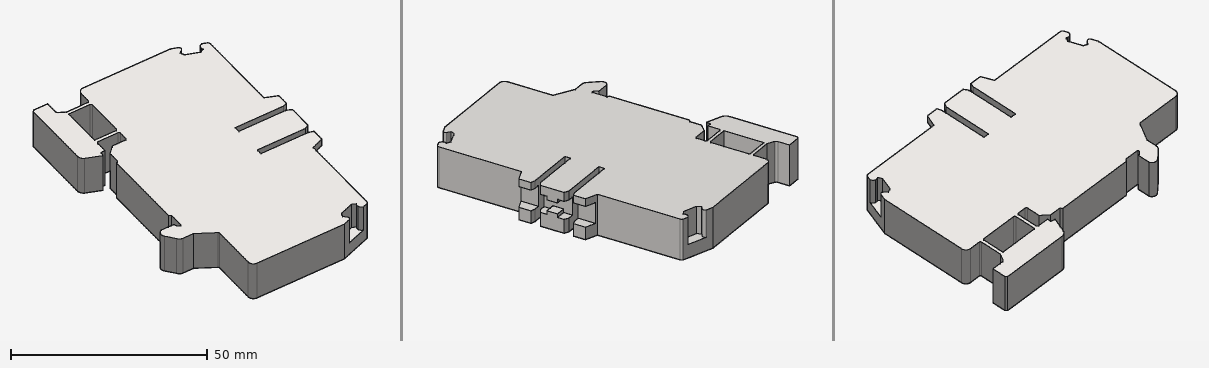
import cadquery as cq

length = 80.0
height = 55.5
thickness = 12.0
mid_x = length / 2

body_bottom = 14.0
shoulder_top = 51.9
flank_start = 42.4
flank_lean = 3.4
body_corner_radius = 1.6
shoulder_radius = 0.8

tab_root_half = 11.4
tab_top_half = 9.9
slit_outer_half = 5.9
slit_inner_half = 4.2
slit_bottom = 39.5
outer_lead_in = 0.4
middle_lead_in = 0.7
lead_in_depth = 1.3

groove_floor = 52.5
groove_center_z = 6.7
outer_groove_width = 6.1
middle_groove_width = 5.3
neck_groove_width = 3.2
neck_length = 3.2

seat_top = 7.5
seat_left = 22.5
seat_chamfer = 2.1
pad_bottom = 6.9
pad_left = 28.1
pad_right = 52.8
pad_slope = 0.4

hook_inner = 56.0
hook_outer = 61.7
hook_root = 57.3
hook_lip = 6.2
hook_lip_middle = (57.0, 6.6)
hook_tip_start = 2.4
hook_tip_middle = (56.8, 1.4)
hook_tip_end = (58.4, 1.7)
hook_heel_start = (60.8, 3.7)
hook_heel_middle = (61.4, 4.3)
hook_heel_end = 5.1
hook_neck = 8.4
hook_shoulder = 65.0

foot_top = 7.0
foot_ledge = 4.7
foot_ledge_end = 4.0
foot_right = 23.0
foot_lip_bottom = 5.8
foot_lip_tip = (24.2, 5.6)
foot_nose_start = (22.5, 1.0)
foot_nose_middle = (21.8, 0.3)
foot_nose_end = 20.8
foot_chamfer = 0.5
leg_width = 1.0
left_leg = 5.3
right_leg = 18.2
small_fillet = 0.4
ledge_fillet = 0.8

notch_floor_z = 4.0
notch_upper_lip = (2.8, 50.1)
notch_upper_lip_middle = (3.1, 49.4)
notch_upper_lip_end = (3.8, 49.0)
notch_upper_wall_end = (4.3, 49.0)
notch_upper_corner = (4.7, 49.3)
notch_floor_top = (5.3, 48.1)
notch_floor_bottom = (3.8, 44.1)
notch_lower_corner = (2.6, 43.6)
notch_lower_wall_end = (1.8, 44.6)
notch_lower_lip_middle = (1.2, 44.7)
notch_lower_lip = (0.6, 44.2)


def mirrored(shape):
    """Copy of a shape reflected about the middle of the part."""
    return shape.mirror("YZ", (mid_x, 0, 0))


def extruded(outline):
    return outline.close().extrude(thickness)


def fillet_corners(shape, corners, radius):
    """Round the upright edges that pass through the given XY corners."""
    for x, y in corners:
        edge = cq.selectors.NearestToPointSelector((x, y, thickness / 2))
        shape = shape.edges(edge).fillet(radius)
    return shape


def make_body():
    half = extruded(
        cq.Workplane("XY")
        .moveTo(mid_x, body_bottom)
        .lineTo(0, body_bottom)
        .lineTo(0, flank_start)
        .lineTo(flank_lean, shoulder_top)
        .lineTo(mid_x, shoulder_top)
    )
    half = fillet_corners(half, [(0, body_bottom)], body_corner_radius)
    half = fillet_corners(half, [(flank_lean, shoulder_top)], shoulder_radius)
    return half.union(mirrored(half))


def make_outer_tab():
    return extruded(
        cq.Workplane("XY")
        .moveTo(mid_x - tab_root_half, shoulder_top)
        .lineTo(mid_x - tab_top_half, height)
        .lineTo(mid_x - slit_outer_half - outer_lead_in, height)
        .lineTo(mid_x - slit_outer_half, height - lead_in_depth)
        .lineTo(mid_x - slit_outer_half, shoulder_top)
    )


def make_middle_tab():
    top_half = slit_inner_half - middle_lead_in
    return extruded(
        cq.Workplane("XY")
        .moveTo(mid_x - slit_inner_half, shoulder_top)
        .lineTo(mid_x - slit_inner_half, height - lead_in_depth)
        .lineTo(mid_x - top_half, height)
        .lineTo(mid_x + top_half, height)
        .lineTo(mid_x + slit_inner_half, height - lead_in_depth)
        .lineTo(mid_x + slit_inner_half, shoulder_top)
    )


def make_groove(groove_length, width):
    """Slot along X, centred on the part, open at the tips of the tabs."""
    depth = height - groove_floor
    slot = cq.Workplane("XY").box(groove_length, depth, width)
    return slot.translate((mid_x, groove_floor + depth / 2, groove_center_z))


def make_tabs():
    outer_tab = make_outer_tab()
    outer_tabs = outer_tab.union(mirrored(outer_tab))
    outer_tabs = outer_tabs.cut(make_groove(2 * tab_root_half, outer_groove_width))

    middle_groove = make_groove(2 * slit_inner_half, middle_groove_width)
    middle_groove = middle_groove.cut(make_groove(neck_length, middle_groove_width))
    neck_groove = make_groove(neck_length, neck_groove_width)
    middle_tab = make_middle_tab().cut(middle_groove).cut(neck_groove)
    return outer_tabs.union(middle_tab)


def make_slit():
    width = slit_outer_half - slit_inner_half
    slit = cq.Workplane("XY").box(width, height - slit_bottom, thickness, centered=False)
    return slit.translate((mid_x - slit_outer_half, slit_bottom, 0))


def make_seat_and_hook():
    return extruded(
        cq.Workplane("XY")
        .moveTo(seat_left, body_bottom)
        .lineTo(seat_left, seat_top + seat_chamfer)
        .lineTo(seat_left + seat_chamfer, seat_top)
        .lineTo(pad_left, seat_top)
        .lineTo(pad_left + pad_slope, pad_bottom)
        .lineTo(pad_right - pad_slope, pad_bottom)
        .lineTo(pad_right, seat_top)
        .lineTo(hook_root, seat_top)
        .threePointArc(hook_lip_middle, (hook_inner, hook_lip))
        .lineTo(hook_inner, hook_tip_start)
        .threePointArc(hook_tip_middle, hook_tip_end)
        .lineTo(*hook_heel_start)
        .threePointArc(hook_heel_middle, (hook_outer, hook_heel_end))
        .lineTo(hook_outer, hook_neck)
        .lineTo(hook_shoulder, body_bottom)
    )


def make_foot():
    return extruded(
        cq.Workplane("XY")
        .moveTo(foot_chamfer, 0)
        .lineTo(0, foot_chamfer)
        .lineTo(0, foot_ledge)
        .lineTo(foot_ledge_end, foot_ledge)
        .lineTo(left_leg, foot_top)
        .lineTo(foot_right, foot_top)
        .lineTo(foot_right, foot_lip_bottom)
        .lineTo(*foot_lip_tip)
        .lineTo(*foot_nose_start)
        .threePointArc(foot_nose_middle, (foot_nose_end, 0))
    )


def make_leg(x):
    leg = cq.Workplane("XY").box(leg_width, body_bottom - foot_top, thickness, centered=False)
    return leg.translate((x, foot_top, 0))


def make_notch():
    """Cutter for the left notch, carried past the sloped flank to the left end."""
    outline = (
        cq.Workplane("XY", origin=(0, 0, notch_floor_z))
        .moveTo(0, notch_upper_lip[1])
        .lineTo(*notch_upper_lip)
        .threePointArc(notch_upper_lip_middle, notch_upper_lip_end)
        .lineTo(*notch_upper_wall_end)
        .lineTo(*notch_upper_corner)
        .lineTo(*notch_floor_top)
        .lineTo(*notch_floor_bottom)
        .lineTo(*notch_lower_corner)
        .lineTo(*notch_lower_wall_end)
        .threePointArc(notch_lower_lip_middle, notch_lower_lip)
        .lineTo(0, notch_lower_lip[1])
    )
    return outline.close().extrude(thickness - notch_floor_z)


result = make_body().union(make_seat_and_hook()).union(make_foot())
for leg_x in (left_leg, right_leg):
    result = result.union(make_leg(leg_x))

inner_corners = [
    (left_leg, body_bottom),
    (left_leg + leg_width, body_bottom),
    (right_leg, body_bottom),
    (right_leg + leg_width, body_bottom),
    (right_leg + leg_width, foot_top),
    (seat_left, body_bottom),
    (hook_shoulder, body_bottom),
]
result = fillet_corners(result, inner_corners, small_fillet)
result = fillet_corners(result, [(foot_ledge_end, foot_ledge)], ledge_fillet)

result = result.union(make_tabs())
slit = make_slit()
notch = make_notch()
for cutter in (slit, mirrored(slit), notch, mirrored(notch)):
    result = result.cut(cutter)